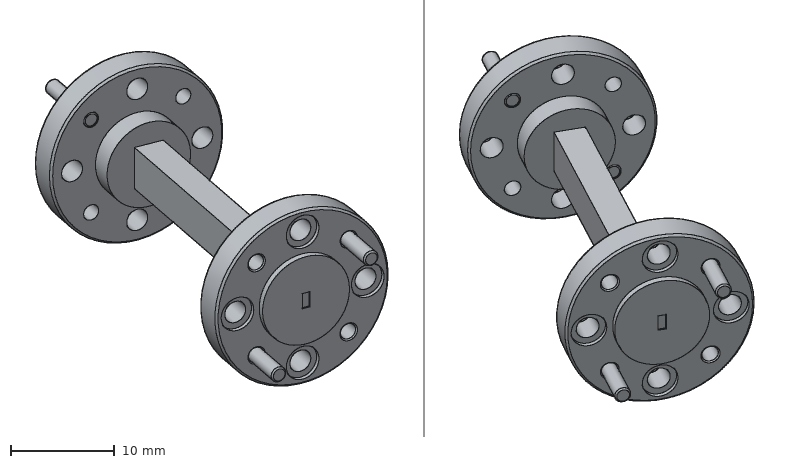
import cadquery as cq
import math

PIN_TIP_X = 22.92
BOSS_FACE_X = 19.05
FLANGE_FACE_X = 18.35
FLANGE_BACK_X = 15.05
HUB_END_X = 12.7

FLANGE_DIAMETER = 19.05
FLANGE_CHAMFER = 0.25
BOSS_DIAMETER = 9.55
HUB_DIAMETER = 9.15

BAR_WIDTH = 3.15
BAR_HEIGHT = 4.5
PORT_WIDTH = 0.83
PORT_HEIGHT = 1.65
PORT_DEPTH = 0.2

HOLE_CIRCLE_RADIUS = 7.15
SCREW_HOLE_DIAMETER = 2.3
COUNTERBORE_DIAMETER = 3.58
COUNTERBORE_DEPTH = 0.45
PIN_DIAMETER = 1.6
PIN_CHAMFER = 0.16
OPEN_HOLE_DIAMETER = 1.65
HOLE_CHAMFER = 0.15

SCREW_ANGLES = [0, 90, 180, 270]
PIN_ANGLES = [45, 225]
OPEN_HOLE_ANGLES = [135, 315]


def rod(start_x, end_x, diameter):
    """Round bar along X, centred on the part axis."""
    return cq.Workplane("YZ", origin=(start_x, 0, 0)).circle(diameter / 2).extrude(end_x - start_x)


def revolved(profile):
    """Solid of revolution about the part axis from (x, radius) points."""
    return cq.Workplane("XY").polyline(profile).close().revolve(360, (0, 0, 0), (1, 0, 0))


def at_hole_circle(shape, angle):
    """Move an axial shape out to the hole circle at an angle from +Y towards +Z."""
    y = HOLE_CIRCLE_RADIUS * math.cos(math.radians(angle))
    z = HOLE_CIRCLE_RADIUS * math.sin(math.radians(angle))
    return shape.translate((0, y, z))


def at_other_end(shape):
    """Turn a shape from the +X end half a turn about Z, to the -X end."""
    return shape.rotate((0, 0, 0), (0, 0, 1), 180)


def screw_hole_cutter():
    """Through hole with a counterbore in the outer flange face."""
    bore = rod(FLANGE_BACK_X, FLANGE_FACE_X, SCREW_HOLE_DIAMETER)
    counterbore = rod(FLANGE_FACE_X - COUNTERBORE_DEPTH, FLANGE_FACE_X, COUNTERBORE_DIAMETER)
    return bore.union(counterbore)


def pin_hole_cutter(diameter):
    """Through hole for an alignment pin, chamfered at the outer flange face."""
    radius = diameter / 2
    profile = [
        (FLANGE_BACK_X, 0),
        (FLANGE_BACK_X, radius),
        (FLANGE_FACE_X - HOLE_CHAMFER, radius),
        (FLANGE_FACE_X, radius + HOLE_CHAMFER),
        (FLANGE_FACE_X, 0),
    ]
    return revolved(profile)


def flange_end():
    """Flange at the +X end with its hub, boss, port and holes."""
    flange = rod(FLANGE_BACK_X, FLANGE_FACE_X, FLANGE_DIAMETER).edges().chamfer(FLANGE_CHAMFER)
    hub = rod(HUB_END_X, FLANGE_BACK_X, HUB_DIAMETER)
    boss = rod(FLANGE_FACE_X, BOSS_FACE_X, BOSS_DIAMETER)
    end = flange.union(hub).union(boss)
    for angle in SCREW_ANGLES:
        end = end.cut(at_hole_circle(screw_hole_cutter(), angle))
    for angle in OPEN_HOLE_ANGLES:
        end = end.cut(at_hole_circle(pin_hole_cutter(OPEN_HOLE_DIAMETER), angle))
    for angle in PIN_ANGLES:
        end = end.cut(at_hole_circle(pin_hole_cutter(PIN_DIAMETER), angle))
    port = cq.Workplane("YZ", origin=(BOSS_FACE_X, 0, 0)).rect(PORT_WIDTH, PORT_HEIGHT).extrude(-PORT_DEPTH)
    return end.cut(port)


def waveguide():
    """Rectangular bar with a flange at each end."""
    bar = cq.Workplane("XY").box(2 * HUB_END_X, BAR_WIDTH, BAR_HEIGHT)
    end = flange_end()
    return bar.union(end).union(at_other_end(end))


def alignment_pin():
    """Pin with both ends chamfered, starting at the back of the flange."""
    radius = PIN_DIAMETER / 2
    end_radius = radius - PIN_CHAMFER
    profile = [
        (FLANGE_BACK_X, 0),
        (FLANGE_BACK_X, end_radius),
        (FLANGE_BACK_X + PIN_CHAMFER, radius),
        (PIN_TIP_X - PIN_CHAMFER, radius),
        (PIN_TIP_X, end_radius),
        (PIN_TIP_X, 0),
    ]
    return revolved(profile)


body = waveguide()

pins = []
for pin_angle in PIN_ANGLES:
    pin = at_hole_circle(alignment_pin(), pin_angle)
    pins.append(pin.val())
    pins.append(at_other_end(pin).val())

result = cq.Compound.makeCompound([body.val(), *pins])